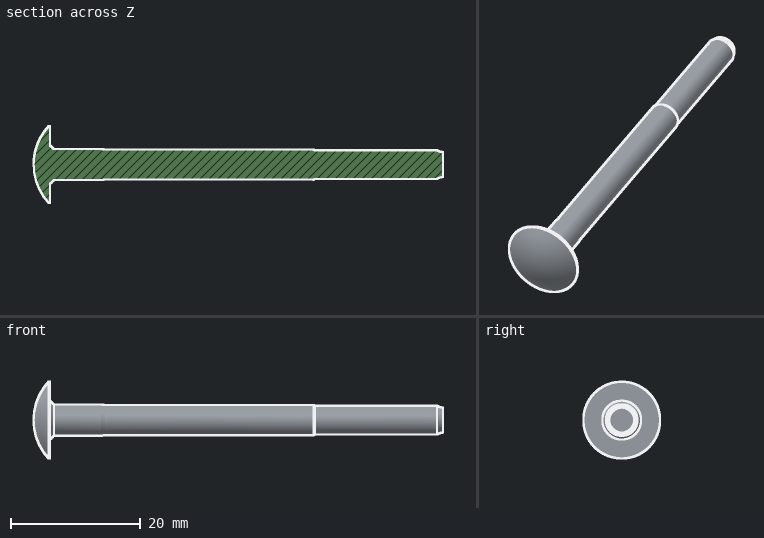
import cadquery as cq

length = 63.2

head_diameter = 11.9
dome_height = 2.35
rim_thickness = 0.25

flare_diameter = 6.0
flare_length = 0.6

neck_diameter = 4.85
neck_end = 10.5
shank_diameter = 4.75
shank_start = 11.45
groove_bottom = 11.05
groove_diameter = 4.7
shank_end = 43.4
shank_chamfer_length = 0.2

tail_diameter = 4.5
tip_length = 0.6
tip_start_diameter = 4.1
tip_end_diameter = 3.85
tail_bevel_length = 0.4

head_radius = head_diameter / 2
head_back = dome_height + rim_thickness
flare_end = head_back + flare_length
tip_start = length - tip_length
tail_end = tip_start - tail_bevel_length

dome_radius = (head_radius**2 + dome_height**2) / (2 * dome_height)
arc_radius = head_radius / 2
arc_depth = dome_radius - (dome_radius**2 - arc_radius**2) ** 0.5

result = (
    cq.Workplane("XY")
    .moveTo(0, 0)
    .threePointArc((arc_depth, arc_radius), (dome_height, head_radius))
    .lineTo(head_back, head_radius)
    .lineTo(head_back, flare_diameter / 2)
    .lineTo(flare_end, neck_diameter / 2)
    .lineTo(neck_end, neck_diameter / 2)
    .lineTo(groove_bottom, groove_diameter / 2)
    .lineTo(shank_start, shank_diameter / 2)
    .lineTo(shank_end - shank_chamfer_length, shank_diameter / 2)
    .lineTo(shank_end, tail_diameter / 2)
    .lineTo(tail_end, tail_diameter / 2)
    .lineTo(tip_start, tip_start_diameter / 2)
    .lineTo(length, tip_end_diameter / 2)
    .lineTo(length, 0)
    .close()
    .revolve(360, (0, 0, 0), (1, 0, 0))
)